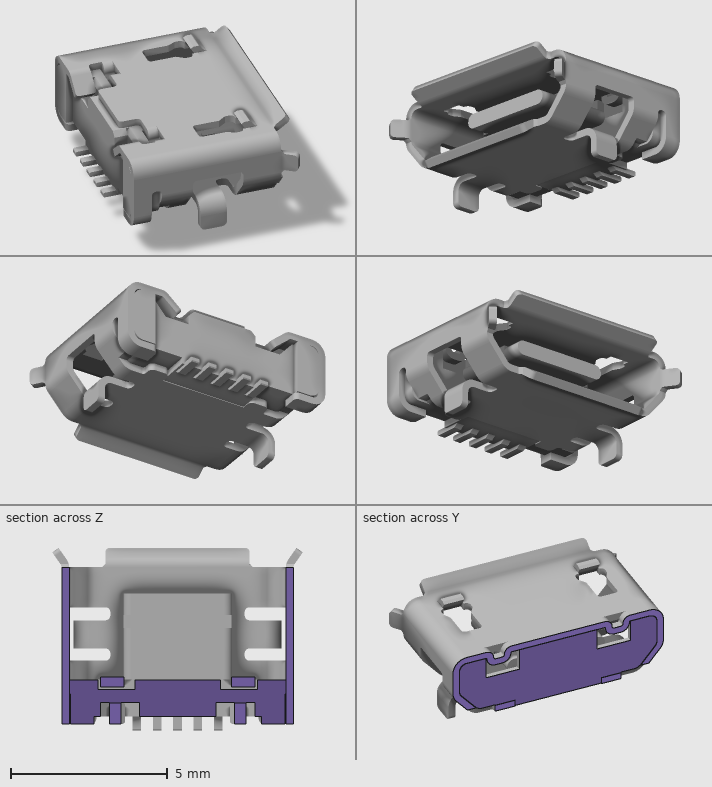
import cadquery as cq
import math

SIDES = (-1, 1)
DIAGONAL = math.sqrt(0.5)

overall_width = 8
overall_length = 5.82
overall_height = 3.43

sheet = 0.25
shell_width = 7.42
shell_half_width = shell_width / 2
shell_top = 2.42
shell_depth = 5.01
bend_radius = 0.5
inner_bend_radius = bend_radius - sheet
sheet_underside = shell_top - sheet

mouth_bottom = 0.04
floor_top = mouth_bottom + sheet
knee_z = 0.96
taper_foot_half_width = 2.91
front_end = 4.06
rear_start = 4.4
slit_top = 1.33
slit_corner = 0.14

flange_angle = math.radians(35)
flange_rise = (overall_width - shell_width) / 2
flange_reach = 0.61
flange_root_flare = 0.1
flange_tip_corner = 0.14
top_flange_width = 5.81
bottom_flange_width = 4.59
side_flange_width = 0.61
side_flange_z = 1.53

spring_x = 2.38
spring_width = 0.71
spring_root = 0.46
spring_height = 0.25
spring_rise_end = 0.69
spring_crest_start = 0.73
spring_crest_end = 0.9
spring_tip = 1.01
spring_tip_drop = 0.06
spring_front_bevel = 0.03
spring_front_bow = (0.58, 0.08)
spring_back_top = 0.88
spring_back_bottom = 0.72
slot_end = 2.42
slot_end_corner = 0.12
eye_start = 0.95
eye_taper_start = 1.25
eye_end = 1.5
eye_inner_x = 1.85
eye_outer_x = 2.87
eye_corner = 0.14

window_start = 1.29
window_end = 2.99
window_top = 1.44
window_corner = 0.12
window_inner_x = 2.14
window_floor_corner = 0.16
foot_start = 1.7
foot_end = 2.6
foot_outer_x = 3.32
foot_bottom = shell_top + flange_rise - overall_height
foot_corner = 0.16

top_tongue_half_width = 1.02
top_tongue_end = 4.54
top_tongue_corner = 0.12
notch_start = 3.84
notch_end = 4.32
notch_outer_x = 2.54
notch_corner = 0.14
strip_start = 3.5
strip_inner_x = 1.63
strip_bend_radius = 0.27
strip_base_radius = 0.06
tab_root_x = 2.42
tab_tip_x = 1.67
tab_angle = math.radians(41)
tab_bend_radius = 0.34
tab_corner = 0.1

prong_root = 3.6
prong_end = 4
prong_inner_x = 1.51
prong_outer_x = 2.22
prong_corner = 0.18
prong_root_corner = 0.09
relief_top = 0.36
rear_flap_inner_x = 2.59
rear_flap_corner = 0.16

block_front = prong_root
block_back = 4.77
block_half_width = shell_half_width - sheet
block_corner = 0.33
column_inner_x = 2.67
pad_bottom = 0.06
strip_pocket_inner_x = 1.38
strip_pocket_end = 3.9
strip_pocket_bottom = 1.44
tab_pocket_bottom = 1.62
tab_pocket_inner_x = 1.23
tab_pocket_outer_x = 2.14
tab_pocket_top_x = 2.61
tab_pocket_bevel = 0.17
bevel_depth = 0.12
bevel_drop = 0.15

tongue_start = 0.85
tongue_half_width = 1.72
tongue_bottom = 1.26
tongue_top = 1.76
tongue_edge_radius = 0.24
lug_start = 1.53
lug_end = 1.95

pin_count = 5
pin_pitch = 0.65
pin_width = 0.27
pin_end = overall_length - flange_reach
pin_bottom = -0.05
pin_top = 0.13
pin_slope_start = 4.23
pin_slope_end = 4.38
pin_tip_bevel = 0.03

beyond = 0.4


def box(x_min, x_max, depth_min, depth_max, z_min, z_max):
    """Block between two depths behind the mouth."""
    size = (x_max - x_min, depth_max - depth_min, z_max - z_min)
    return cq.Workplane("XY").box(*size, centered=False).translate((x_min, -depth_max, z_min))


def across(side, x_a, x_b, depth_min, depth_max, z_min, z_max):
    """Block given for the +X half, placed on the chosen side."""
    x_min, x_max = sorted((side * x_a, side * x_b))
    return box(x_min, x_max, depth_min, depth_max, z_min, z_max)


def at_depth(depth):
    """XZ plane at a depth; extruding runs toward the rear."""
    return cq.Workplane("XZ", origin=(0, -depth, 0))


def mirrored(solid, side):
    """Part modelled for the +X half, placed on the chosen side."""
    return solid if side > 0 else solid.mirror("YZ")


def tapered_section(inset, depth_min, depth_max):
    """Front profile with walls that slope in toward a narrower floor."""
    corners = [
        (-shell_half_width, shell_top),
        (shell_half_width, shell_top),
        (shell_half_width, knee_z),
        (taper_foot_half_width, mouth_bottom),
        (-taper_foot_half_width, mouth_bottom),
        (-shell_half_width, knee_z),
    ]
    profile = at_depth(depth_min).polyline(corners).close()
    rounded = profile.offset2D(-bend_radius, "intersection").offset2D(bend_radius - inset, "arc")
    return rounded.extrude(depth_max - depth_min)


def rectangular_section(half_width, z_min, z_max, corner, depth_min, depth_max):
    """Rear profile: a rounded rectangle."""
    block = box(-half_width, half_width, depth_min, depth_max, z_min, z_max)
    return block.edges("|Y").fillet(corner)


def shell_tube():
    front = tapered_section(0, 0, front_end).cut(tapered_section(sheet, 0, front_end))
    rear = rectangular_section(shell_half_width, 0, shell_top, bend_radius, front_end, shell_depth)
    rear_bore = rectangular_section(
        shell_half_width - sheet, sheet, sheet_underside, inner_bend_radius, front_end, shell_depth
    )
    slit = box(
        -shell_half_width, shell_half_width, front_end, rear_start, -beyond, slit_top
    ).edges("|X and >Z").fillet(slit_corner)
    return front.union(rear.cut(rear_bore)).cut(slit)


def flange(width):
    """Flared flange that rises toward +Z from a sheet whose outer face is Z = 0."""
    sine, cosine = math.sin(flange_angle), math.cos(flange_angle)
    tip_y = flange_reach - sheet * sine
    crease_y = tip_y - flange_rise / math.tan(flange_angle)
    outer_radius = crease_y / math.tan(flange_angle / 2)

    def on_bend(radius, angle):
        return (radius * math.sin(angle), outer_radius - radius * math.cos(angle))

    profile = (
        cq.Workplane("YZ")
        .moveTo(0, 0)
        .threePointArc(on_bend(outer_radius, flange_angle / 2), on_bend(outer_radius, flange_angle))
        .lineTo(tip_y, flange_rise)
        .lineTo(flange_reach, flange_rise - sheet * cosine)
        .lineTo(*on_bend(outer_radius + sheet, flange_angle))
        .threePointArc(on_bend(outer_radius + sheet, flange_angle / 2), (0, -sheet))
        .close()
    )
    half = width / 2
    root_half = half + flange_root_flare
    plan = [
        (-root_half, 0),
        (-half, flange_root_flare),
        (-half, flange_reach),
        (half, flange_reach),
        (half, flange_root_flare),
        (root_half, 0),
    ]
    outline = cq.Workplane("XY").polyline(plan).close().extrude(2 * beyond, both=True)
    strip = profile.extrude(root_half, both=True).intersect(outline)
    for side in SIDES:
        tip_middle = (side * half, (tip_y + flange_reach) / 2, flange_rise - sheet * cosine / 2)
        strip = strip.edges(cq.NearestToPointSelector(tip_middle)).fillet(flange_tip_corner)
    return strip


def mouth_flanges():
    placements = [
        (top_flange_width, 0, (0, 0, shell_top)),
        (side_flange_width, 90, (shell_half_width, 0, side_flange_z)),
        (bottom_flange_width, 180, (0, 0, mouth_bottom)),
        (side_flange_width, 270, (-shell_half_width, 0, side_flange_z)),
    ]
    return [
        flange(width).rotate((0, 0, 0), (0, 1, 0), turn).translate(place)
        for width, turn, place in placements
    ]


def spring_slot():
    """Keyhole slot behind the +X spring tab."""
    inner = spring_x - spring_width / 2
    outer = spring_x + spring_width / 2
    eye = [
        (eye_inner_x, -eye_start),
        (eye_outer_x, -eye_start),
        (eye_outer_x, -eye_taper_start),
        (outer, -eye_end),
        (inner, -eye_end),
        (eye_inner_x, -eye_taper_start),
    ]
    plane = cq.Workplane("XY", origin=(0, 0, sheet_underside))
    eye_cut = plane.polyline(eye).close().extrude(sheet).edges("|Z and >Y").fillet(eye_corner)
    slot = box(inner, outer, spring_root, slot_end, sheet_underside, shell_top)
    return slot.edges("|Z and <Y").fillet(slot_end_corner).union(eye_cut)


def spring_tab():
    """Tab that rises out of the top sheet and ends in a short flat crest."""
    crest = shell_top + spring_height
    bow_depth, bow_height = spring_front_bow
    plane = cq.Workplane("YZ", origin=(spring_x - spring_width / 2, 0, 0))
    profile = (
        plane.moveTo(-spring_root, sheet_underside)
        .lineTo(-spring_root, shell_top)
        .threePointArc(
            (-bow_depth, shell_top + bow_height), (-spring_rise_end, crest - spring_front_bevel)
        )
        .lineTo(-spring_crest_start, crest)
        .lineTo(-spring_crest_end, crest)
        .lineTo(-spring_tip, crest - spring_tip_drop)
        .lineTo(-spring_back_top, shell_top)
        .lineTo(-spring_back_bottom, sheet_underside)
        .close()
    )
    return profile.extrude(spring_width)


def window():
    """Opening through the +X wall and the floor below it."""
    opening = box(
        window_inner_x, shell_half_width + beyond, window_start, window_end, -beyond, window_top
    )
    return opening.edges("|X and >Z").fillet(window_corner)


def foot():
    """Floor strip in the +X window that bends down into a mounting leg."""
    bend_x = foot_outer_x - bend_radius
    bend_z = floor_top - bend_radius
    profile = (
        at_depth(foot_start)
        .moveTo(window_inner_x, floor_top)
        .lineTo(bend_x, floor_top)
        .threePointArc(
            (bend_x + bend_radius * DIAGONAL, bend_z + bend_radius * DIAGONAL), (foot_outer_x, bend_z)
        )
        .lineTo(foot_outer_x, foot_bottom)
        .lineTo(foot_outer_x - sheet, foot_bottom)
        .lineTo(foot_outer_x - sheet, bend_z)
        .threePointArc(
            (bend_x + inner_bend_radius * DIAGONAL, bend_z + inner_bend_radius * DIAGONAL),
            (bend_x, mouth_bottom),
        )
        .lineTo(window_inner_x, mouth_bottom)
        .close()
    )
    return profile.extrude(foot_end - foot_start).edges("|X and <Z").fillet(foot_corner)


def top_notch():
    """Opening in the rear of the top sheet, +X half."""
    strip_hole = box(strip_inner_x, notch_outer_x, strip_start, notch_start, sheet_underside, shell_top)
    slot = box(top_tongue_half_width, notch_outer_x, notch_start, notch_end, sheet_underside, shell_top)
    slot = slot.edges("|Z and <X and >Y").fillet(notch_corner)
    slot = slot.edges("|Z and >X and <Y").fillet(notch_corner)
    tab_space = box(
        top_tongue_half_width, tab_root_x, notch_end, shell_depth, sheet_underside, shell_top
    )
    return slot.union(strip_hole).union(tab_space)


def pressed_strip():
    """U-shaped strip of the top sheet pressed down beside the +X notch."""
    middle_x = (strip_inner_x + notch_outer_x) / 2
    outer_radius = strip_bend_radius
    small_radius = outer_radius - sheet
    top_centre_z = shell_top - outer_radius
    base_radius = strip_base_radius
    base_centre_x = strip_inner_x + outer_radius + base_radius
    strip_floor = top_centre_z - base_radius

    def on_top_bend(radius):
        return (strip_inner_x + radius * DIAGONAL, top_centre_z + radius * DIAGONAL)

    def on_base_bend(radius):
        return (base_centre_x - radius * DIAGONAL, top_centre_z - radius * DIAGONAL)

    profile = (
        at_depth(strip_start)
        .moveTo(strip_inner_x, shell_top)
        .threePointArc(on_top_bend(outer_radius), (strip_inner_x + outer_radius, top_centre_z))
        .threePointArc(on_base_bend(base_radius), (base_centre_x, strip_floor))
        .lineTo(middle_x, strip_floor)
        .lineTo(middle_x, strip_floor - sheet)
        .lineTo(base_centre_x, strip_floor - sheet)
        .threePointArc(
            on_base_bend(base_radius + sheet), (strip_inner_x + small_radius, top_centre_z)
        )
        .threePointArc(on_top_bend(small_radius), (strip_inner_x, sheet_underside))
        .close()
    )
    half = profile.extrude(notch_start - strip_start)
    return half.union(half.mirror("YZ", (middle_x, 0, 0)))


def retaining_tab():
    """Rear tab of the +X half, bent down toward the middle."""
    inner_radius = tab_bend_radius - sheet
    centre_z = shell_top - tab_bend_radius

    def on_bend(radius, angle):
        return (tab_root_x - radius * math.sin(angle), centre_z + radius * math.cos(angle))

    outer_end = on_bend(tab_bend_radius, tab_angle)
    inner_end = on_bend(inner_radius, tab_angle)
    run = outer_end[0] - tab_tip_x
    drop = run * math.tan(tab_angle)
    profile = (
        at_depth(notch_end)
        .moveTo(tab_root_x, shell_top)
        .threePointArc(on_bend(tab_bend_radius, tab_angle / 2), outer_end)
        .lineTo(tab_tip_x, outer_end[1] - drop)
        .lineTo(inner_end[0] - run, inner_end[1] - drop)
        .lineTo(*inner_end)
        .threePointArc(on_bend(inner_radius, tab_angle / 2), (tab_root_x, sheet_underside))
        .close()
    )
    tab = profile.extrude(shell_depth - notch_end)
    tip_middle_x = tab_tip_x + sheet * math.sin(tab_angle) / 2
    tip_middle_z = outer_end[1] - drop - sheet * math.cos(tab_angle) / 2
    for depth in (notch_end, shell_depth):
        corner = cq.NearestToPointSelector((tip_middle_x, -depth, tip_middle_z))
        tab = tab.edges(corner).fillet(tab_corner)
    return tab


def rear_floor_cuts():
    """Openings in the rear floor that leave two prongs and two rear flaps."""
    prong_gap = box(-prong_outer_x, prong_outer_x, prong_end, rear_start, -beyond, floor_top)
    pad_gap = box(-prong_inner_x, prong_inner_x, prong_root, prong_end, -beyond, floor_top)
    flap_gap = box(
        -rear_flap_inner_x, rear_flap_inner_x, rear_start, shell_depth, -beyond, floor_top
    )
    reliefs = [
        across(side, prong_outer_x, shell_half_width, prong_root, front_end, -beyond, relief_top)
        for side in SIDES
    ]
    return [prong_gap, pad_gap, flap_gap, *reliefs]


def round_floor_corners(shell):
    """Rounded corners of the prongs, the rear flaps and the gaps beside the feet."""
    for side in SIDES:
        corners = [
            (prong_outer_x, prong_end, mouth_bottom, prong_corner),
            (prong_inner_x, prong_end, mouth_bottom, prong_corner),
            (prong_outer_x, prong_root, mouth_bottom, prong_root_corner),
            (rear_flap_inner_x, shell_depth, 0, rear_flap_corner),
        ]
        for depth in (window_start, foot_start, foot_end, window_end):
            corners.append((window_inner_x, depth, mouth_bottom, window_floor_corner))
        for x, depth, bottom, radius in corners:
            middle = (side * x, -depth, bottom + sheet / 2)
            shell = shell.edges(cq.NearestToPointSelector(middle)).fillet(radius)
    return shell


def round_tongue_corners(shell):
    """Rounded rear corners of the tongue in the top sheet."""
    for side in SIDES:
        middle = (side * top_tongue_half_width, -top_tongue_end, shell_top - sheet / 2)
        shell = shell.edges(cq.NearestToPointSelector(middle)).fillet(top_tongue_corner)
    return shell


def make_shell():
    shell = shell_tube()
    for cut in rear_floor_cuts():
        shell = shell.cut(cut)
    tongue_gap = box(
        -top_tongue_half_width, top_tongue_half_width, top_tongue_end, shell_depth,
        sheet_underside, shell_top,
    )
    shell = shell.cut(tongue_gap)
    for side in SIDES:
        for cut in (spring_slot(), top_notch(), window()):
            shell = shell.cut(mirrored(cut, side))
        for addition in (foot(), spring_tab(), pressed_strip(), retaining_tab()):
            shell = shell.union(mirrored(addition, side))
    for part in mouth_flanges():
        shell = shell.union(part)
    return round_tongue_corners(round_floor_corners(shell))


def tab_pocket():
    """Pocket under the +X retaining tab, open to the rear, with bevelled front and inner rims."""
    top = sheet_underside
    profile = [
        (tab_pocket_top_x, top),
        (tab_pocket_outer_x, tab_pocket_bottom),
        (tab_pocket_inner_x, tab_pocket_bottom),
        (tab_pocket_inner_x, top - tab_pocket_bevel),
        (tab_pocket_inner_x - tab_pocket_bevel, top),
    ]
    pocket = at_depth(notch_end).polyline(profile).close().extrude(shell_depth - notch_end)
    rim = [(-notch_end, top), (-notch_end, top - bevel_drop), (bevel_depth - notch_end, top)]
    plane = cq.Workplane("YZ", origin=(tab_pocket_inner_x - tab_pocket_bevel, 0, 0))
    bevel_length = tab_pocket_outer_x - tab_pocket_inner_x + tab_pocket_bevel
    return pocket.union(plane.polyline(rim).close().extrude(bevel_length))


def insulator_block():
    front = tapered_section(sheet, block_front, front_end)
    rear = rectangular_section(
        block_half_width, floor_top, sheet_underside, block_corner, front_end, shell_depth
    )
    centre_step = box(-column_inner_x, column_inner_x, block_back, shell_depth, 0, shell_top)
    pad = box(-prong_inner_x, prong_inner_x, block_front, block_back, pad_bottom, floor_top)
    block = front.union(rear).cut(centre_step).union(pad)
    for side in SIDES:
        strip_pocket = across(
            side, strip_pocket_inner_x, notch_outer_x, block_front, strip_pocket_end,
            strip_pocket_bottom, sheet_underside,
        )
        block = block.cut(strip_pocket).cut(mirrored(tab_pocket(), side))
    return block


def insulator_tongue():
    """Contact tongue with rounded side edges and a square lug on each side."""
    tongue = box(
        -tongue_half_width, tongue_half_width, tongue_start, block_front, tongue_bottom, tongue_top
    )
    tongue = tongue.edges("|Y").fillet(tongue_edge_radius)
    lugs = box(-tongue_half_width, tongue_half_width, lug_start, lug_end, tongue_bottom, tongue_top)
    return tongue.union(lugs)


def pin(x):
    """Contact tail that slopes down out of the pad and runs flat to its tip."""
    profile = [
        (-block_front, pad_bottom),
        (-pin_slope_start, pad_bottom),
        (-pin_slope_end, pin_bottom),
        (pin_tip_bevel - pin_end, pin_bottom),
        (-pin_end, pin_bottom + pin_tip_bevel),
        (-pin_end, pin_top - pin_tip_bevel),
        (pin_tip_bevel - pin_end, pin_top),
        (-block_front, pin_top),
    ]
    plane = cq.Workplane("YZ", origin=(x, 0, 0))
    return plane.polyline(profile).close().extrude(pin_width / 2, both=True)


def make_insulator():
    insulator = insulator_block().union(insulator_tongue())
    for index in range(pin_count):
        insulator = insulator.union(pin((index - (pin_count - 1) / 2) * pin_pitch))
    return insulator


shell = make_shell()
insulator = make_insulator()

result = cq.Compound.makeCompound([shell.solids().val(), insulator.solids().val()])